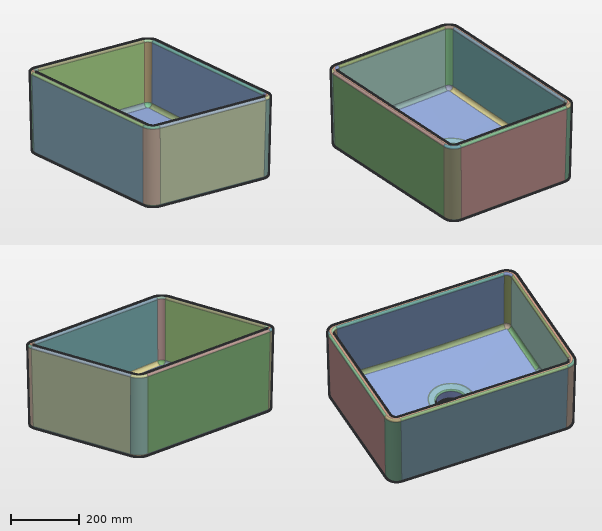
import cadquery as cq
import math

length = 613.0
width = 459.5
height = 255.5

outer_draft_angle = 1.0
inner_draft_angle = 0.5
outer_corner_radius = 36.0
wall_at_rim = 20.0
rim_fillet = 7.0
base_fillet = 8.5

floor_depth = 218.0
floor_slope_angle = 2.0
floor_fillet = 12.0

drain_seat_radius = 67.5
drain_seat_depth = 7.0
drain_hole_radius = 45.0
drain_edge_fillet = 5.5

floor_slope = math.tan(math.radians(floor_slope_angle))
floor_tip_z = height - floor_depth


def drafted_block(rim_x, rim_y, corner_radius, draft_angle):
    """Full-height block of one corner radius throughout, narrowing from the rim down."""
    inset = 2 * height * math.tan(math.radians(draft_angle))
    base = cq.Sketch().rect(rim_x - inset, rim_y - inset).vertices().fillet(corner_radius)
    rim = cq.Sketch().rect(rim_x, rim_y).vertices().fillet(corner_radius)
    rim_level = cq.Location(cq.Vector(0, 0, height))
    return cq.Workplane("XY").placeSketch(base, rim.moved(rim_level)).loft(ruled=True)


def revolve_about_z(profile):
    return profile.close().revolve(360, (0, 0, 0), (0, 1, 0))


def outer_body():
    rim_excess = 2 * rim_fillet * math.tan(math.radians(outer_draft_angle))
    block = drafted_block(length + rim_excess, width + rim_excess, outer_corner_radius, outer_draft_angle)
    return block.faces("<Z").edges().fillet(base_fillet)


def basin():
    """Basin hollow, its floor a shallow cone falling towards the drain."""
    opening_x = length - 2 * wall_at_rim
    opening_y = width - 2 * wall_at_rim
    inner_corner_radius = outer_corner_radius - wall_at_rim
    full_depth_hollow = drafted_block(opening_x, opening_y, inner_corner_radius, inner_draft_angle)
    space_above_floor = revolve_about_z(
        cq.Workplane("XZ")
        .moveTo(0, floor_tip_z)
        .lineTo(length, floor_tip_z + length * floor_slope)
        .lineTo(length, 2 * height)
        .lineTo(0, 2 * height)
    )
    hollow = full_depth_hollow.intersect(space_above_floor)
    return hollow.faces("<Z").edges().fillet(floor_fillet)


def drain():
    """Cutter for the through hole and the conical seat around it."""
    seat_top = floor_tip_z + drain_seat_radius * floor_slope
    return revolve_about_z(
        cq.Workplane("XZ")
        .lineTo(drain_hole_radius, 0)
        .lineTo(drain_hole_radius, seat_top - drain_seat_depth)
        .lineTo(drain_seat_radius, seat_top)
        .lineTo(0, seat_top)
    )


def drain_seat_edges(bowl):
    """Outer and inner edges of the drain seat."""
    reach = 2 * drain_seat_radius
    seat_zone = cq.selectors.BoxSelector(
        (-reach, -reach, floor_tip_z - 2 * drain_seat_depth),
        (reach, reach, floor_tip_z + drain_seat_depth),
    )
    return bowl.edges(seat_zone).edges("%CIRCLE")


bowl = outer_body().cut(basin())
bowl = bowl.faces(">Z").edges().fillet(rim_fillet)
bowl = bowl.cut(drain())
result = drain_seat_edges(bowl).fillet(drain_edge_fillet)